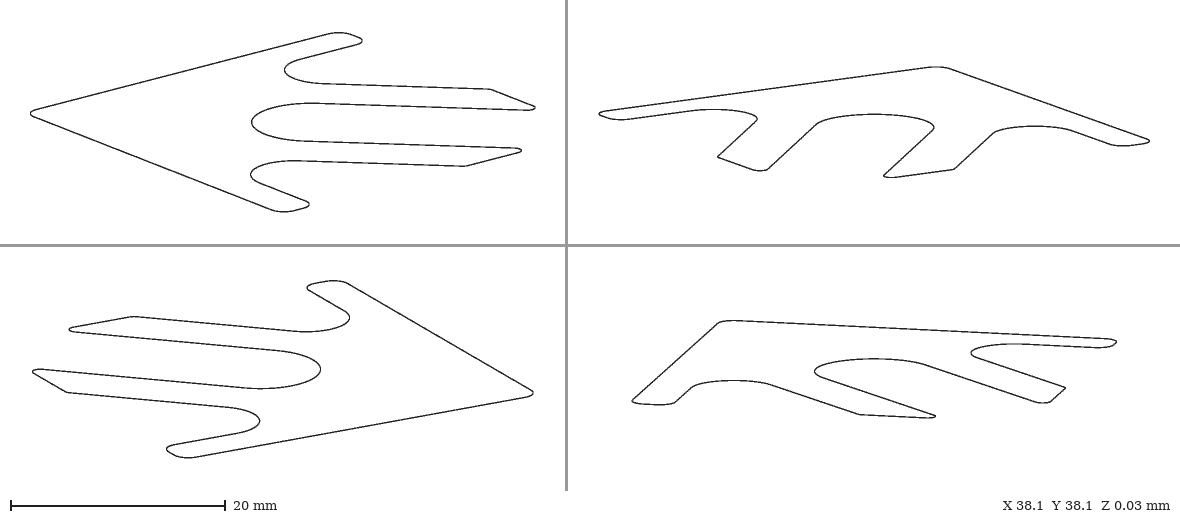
import cadquery as cq
import math

side = 38.1
thickness = 0.03
leg_width = 4.1
corner_radius = 1.5
arm_tip_radius = 0.75
slot_radius = 5.56
notch_radius = 4.05
arm_width = 5.78

overshoot = side / 2

slot_centre = side / 2

arm_inner_rise = slot_radius * math.sqrt(2)
arm_outer_rise = (slot_radius + arm_width) * math.sqrt(2)

diagonal_angle = 45
notch_arc_start = 180
notch_arc_end = 270 + diagonal_angle


def mirrored(point, flip):
    """Swap X and Y to place a point on the other side of the diagonal."""
    x, y = point
    return (y, x) if flip else (x, y)


def make_plate():
    return cq.Workplane("XY").rect(side, side, centered=False).extrude(thickness)


def make_diagonal_slot():
    """Round-ended slot running out along the diagonal."""
    end = cq.Workplane("XY").center(slot_centre, slot_centre).circle(slot_radius).extrude(thickness)
    length = slot_centre * math.sqrt(2) + overshoot
    channel = (
        cq.Workplane("XY")
        .rect(length, 2 * slot_radius)
        .extrude(thickness)
        .translate((length / 2, 0, 0))
        .rotate((0, 0, 0), (0, 0, 1), diagonal_angle)
        .translate((slot_centre, slot_centre, 0))
    )
    return end.union(channel)


def make_notch(flip):
    """Wedge between a leg and an arm, with a round bottom tangent to both."""
    centre_x = leg_width + notch_radius
    centre_y = centre_x + arm_outer_rise + notch_radius * math.sqrt(2)
    top = side + overshoot

    def arc_point(degrees):
        angle = math.radians(degrees)
        x = centre_x + notch_radius * math.cos(angle)
        y = centre_y + notch_radius * math.sin(angle)
        return mirrored((x, y), flip)

    outline = (
        cq.Workplane("XY")
        .moveTo(*mirrored((leg_width, top), flip))
        .lineTo(*arc_point(notch_arc_start))
        .threePointArc(arc_point((notch_arc_start + notch_arc_end) / 2), arc_point(notch_arc_end))
        .lineTo(*mirrored((top - arm_outer_rise, top), flip))
        .close()
    )
    return outline.extrude(thickness)


def round_corners(body, points, radius):
    """Fillet the upright edges that stand at the given XY points."""
    for x, y in points:
        nearest = cq.selectors.NearestToPointSelector((x, y, thickness / 2))
        body = body.edges("|Z").edges(nearest).fillet(radius)
    return body


leg_corners = [(0, 0)]
arm_corners = []
for flip in (False, True):
    leg_corners.append(mirrored((0, side), flip))
    leg_corners.append(mirrored((leg_width, side), flip))
    arm_corners.append(mirrored((side - arm_outer_rise, side), flip))
    arm_corners.append(mirrored((side - arm_inner_rise, side), flip))

result = make_plate().cut(make_diagonal_slot())
for flip in (False, True):
    result = result.cut(make_notch(flip))
result = round_corners(result, leg_corners, corner_radius)
result = round_corners(result, arm_corners, arm_tip_radius)